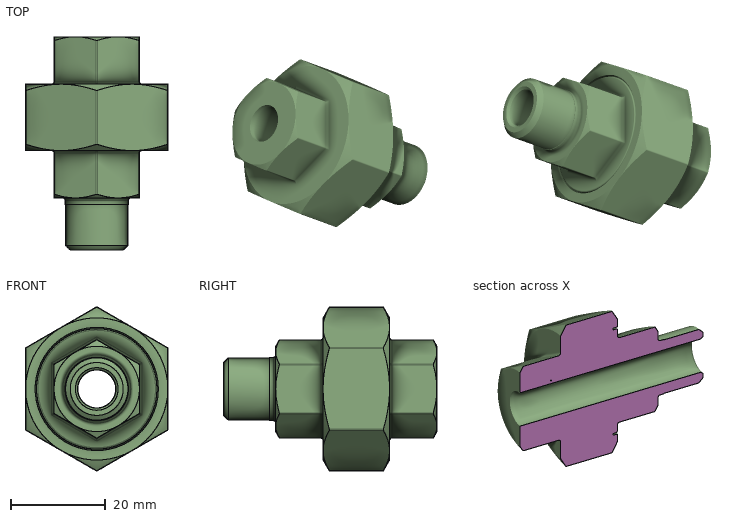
import cadquery as cq
import math


front_hex_start = 11.0
nut_start = 21.0
nut_end = 35.0
overall_length = 45.0

nut_across_flats = 30.0
body_across_flats = 18.0
corner_radius = 0.3
end_chamfer_angle = 30.0
hex_foot_radius = 0.5

thread_diameter = 13.16
thread_end_chamfer = 1.0
thread_collar_diameter = 13.36
thread_collar_start = 9.65
thread_foot_radius = 0.5

bore_diameter = 8.0
bore_chamfer = 0.5

nut_bore_diameter = 26.0
collar_diameter = 25.4
collar_edge_radius = 0.3
groove_depth = 1.0

SQRT_HALF = math.sqrt(0.5)


def revolve_about_y(outline):
    """Revolve a closed (radius, y) outline around the part axis."""
    return outline.close().revolve(360, (0, 0), (0, 1))


def hexagon_from_strip(strip):
    """Intersect a strip, profiled across its flats, with its copies turned by 60 and 120 degrees."""
    axis_end = (0, 1, 0)
    turned_once = strip.rotate((0, 0, 0), axis_end, 60)
    turned_twice = strip.rotate((0, 0, 0), axis_end, 120)
    return strip.intersect(turned_once).intersect(turned_twice)


def chamfer_cone(across_flats, face_y, inward):
    """Solid bounded by the cone that chamfers a hexagon's corners at the end face."""
    face_radius = across_flats / 2
    reach = across_flats
    cone_rise = reach * math.tan(math.radians(end_chamfer_angle))
    outline = (
        cq.Workplane("XY")
        .moveTo(0, face_y)
        .lineTo(face_radius, face_y)
        .lineTo(face_radius + reach, face_y + inward * cone_rise)
        .lineTo(face_radius + reach, face_y + inward * 2 * reach)
        .lineTo(0, face_y + inward * 2 * reach)
    )
    return revolve_about_y(outline)


def make_nut():
    length = nut_end - nut_start
    strip = (
        cq.Workplane("XY")
        .center(0, nut_start + length / 2)
        .rect(nut_across_flats, length)
        .extrude(nut_across_flats, both=True)
    )
    nut = hexagon_from_strip(strip).edges("|Y").fillet(corner_radius)
    nut = nut.intersect(chamfer_cone(nut_across_flats, nut_start, 1))
    return nut.intersect(chamfer_cone(nut_across_flats, nut_end, -1))


def make_body_hexagon(foot_y, end_y):
    """Hexagon flared by a concave fillet at foot_y and chamfered at end_y."""
    away = math.copysign(1, end_y - foot_y)
    half_width = body_across_flats / 2
    foot_half_width = half_width + hex_foot_radius
    foot_top_y = foot_y + away * hex_foot_radius
    arc_offset = hex_foot_radius * (1 - SQRT_HALF)
    arc_y = foot_y + away * arc_offset
    buried_y = foot_y - away * hex_foot_radius
    strip = (
        cq.Workplane("XY")
        .moveTo(-half_width, end_y)
        .lineTo(half_width, end_y)
        .lineTo(half_width, foot_top_y)
        .threePointArc((half_width + arc_offset, arc_y), (foot_half_width, foot_y))
        .lineTo(foot_half_width, buried_y)
        .lineTo(-foot_half_width, buried_y)
        .lineTo(-foot_half_width, foot_y)
        .threePointArc((-half_width - arc_offset, arc_y), (-half_width, foot_top_y))
        .close()
        .extrude(body_across_flats, both=True)
    )
    longest = cq.selectors.LengthNthSelector(-1)
    hexagon = hexagon_from_strip(strip).edges("|Y").edges(longest).fillet(corner_radius)
    return hexagon.intersect(chamfer_cone(body_across_flats, end_y, -away))


def make_male_thread():
    radius = thread_diameter / 2
    collar_radius = thread_collar_diameter / 2
    arc_offset = thread_foot_radius * (1 - SQRT_HALF)
    outline = (
        cq.Workplane("XY")
        .lineTo(radius - thread_end_chamfer, 0)
        .lineTo(radius, thread_end_chamfer)
        .lineTo(radius, thread_collar_start)
        .lineTo(collar_radius, thread_collar_start)
        .lineTo(collar_radius, front_hex_start - thread_foot_radius)
        .threePointArc(
            (collar_radius + arc_offset, front_hex_start - arc_offset),
            (collar_radius + thread_foot_radius, front_hex_start),
        )
        .lineTo(collar_radius + thread_foot_radius, nut_start)
        .lineTo(0, nut_start)
    )
    return revolve_about_y(outline)


def make_bore():
    radius = bore_diameter / 2
    outline = (
        cq.Workplane("XY")
        .lineTo(radius + bore_chamfer, 0)
        .lineTo(radius, bore_chamfer)
        .lineTo(radius, overall_length)
        .lineTo(0, overall_length)
    )
    return revolve_about_y(outline)


def make_clearance_groove():
    """Ring between the nut bore and the rounded edge of the body collar."""
    collar_radius = collar_diameter / 2
    arc_offset = collar_edge_radius * (1 - SQRT_HALF)
    outline = (
        cq.Workplane("XY")
        .moveTo(nut_bore_diameter / 2, nut_start)
        .lineTo(nut_bore_diameter / 2, nut_start + groove_depth)
        .lineTo(collar_radius, nut_start + groove_depth)
        .lineTo(collar_radius, nut_start + collar_edge_radius)
        .threePointArc(
            (collar_radius - arc_offset, nut_start + arc_offset),
            (collar_radius - collar_edge_radius, nut_start),
        )
    )
    return revolve_about_y(outline)


nut_with_groove = make_nut().cut(make_clearance_groove())
front_hexagon = make_body_hexagon(nut_start, front_hex_start)
rear_hexagon = make_body_hexagon(nut_end, overall_length)
body = make_male_thread().union(front_hexagon)
result = nut_with_groove.union(body).union(rear_hexagon).cut(make_bore())